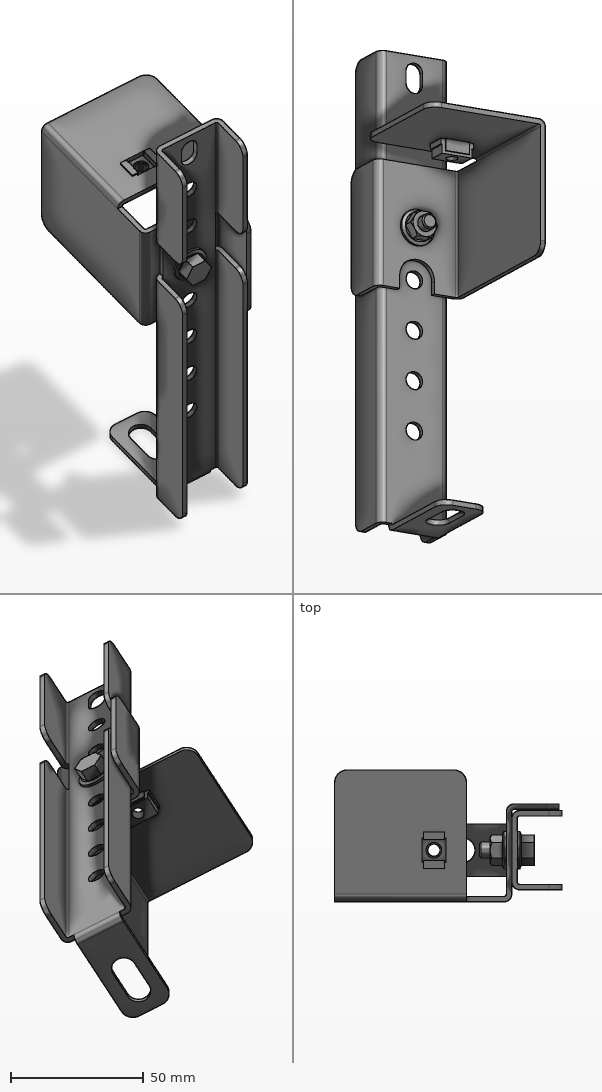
import cadquery as cq
import math

SHEET = 2.0
INNER_BEND = 0.85
OUTER_BEND = INNER_BEND + SHEET
CORNER_RADIUS = 5.0

HEIGHT = 190.0
RAIL_WIDTH = 30.0
RAIL_DEPTH = 19.0
RAIL_LEFT = 67.0
RAIL_RIGHT = RAIL_LEFT + RAIL_DEPTH
RAIL_INNER = RAIL_LEFT + SHEET
RAIL_CENTER_Y = 19.5
NOTCH_BOTTOM = 120.8
NOTCH_TOP = 141.0
FOOT_LEFT = 28.0
FOOT_WIDTH = 20.0
FOOT_SLOT_LENGTH = 20.3
FOOT_SLOT_WIDTH = 9.3
FOOT_SLOT_X = 43.0

HOLE_DIAMETER = 7.0
HOLE_COUNT = 7
LOWEST_HOLE_Z = 41.0
HIGHEST_HOLE_Z = 161.0
HOLE_PITCH = (HIGHEST_HOLE_Z - LOWEST_HOLE_Z) / (HOLE_COUNT - 1)
BOLT_HOLE_INDEX = 4
BOLT_Z = LOWEST_HOLE_Z + BOLT_HOLE_INDEX * HOLE_PITCH
BRACKET_NOTCH_Z = BOLT_Z - HOLE_PITCH
RAIL_SLOT_Z = HIGHEST_HOLE_Z + HOLE_PITCH
RAIL_SLOT_LENGTH = 12.0

BRACKET_TOP = 149.0
BRACKET_BOTTOM = 96.0
BRACKET_SHOULDER = BRACKET_TOP - OUTER_BEND
PLATE_SIZE = 50.0
WEB_LEFT = RAIL_LEFT - SHEET
FLANGE_RIGHT = 85.0
FLANGE_OUTER_Y = 37.0
BRACKET_NOTCH_WIDTH = 15.0

THREAD_DIAMETER = 6.0
BOLT_TIP_X = 55.0
TIP_CHAMFER = 0.5
HEX_FLATS = 10.0
HEX_CORNERS = HEX_FLATS / math.cos(math.pi / 6)
HEAD_HEIGHT = 6.5
NUT_HEIGHT = 6.0
RIM_DIAMETER = 14.2
RIM_THICKNESS = 1.0
CONE_HEIGHT = 0.5
HEX_BEVEL_HEIGHT = 1.7

CAGE_X = 37.6
WINDOW = 9.1
CAGE_STRIP_WIDTH = 8.0
CAGE_BODY_WIDTH = 13.0
CAGE_BODY_DEPTH = 5.9
CAGE_EAR_WIDTH = 14.0
CAGE_EAR_DEPTH = 2.3
CAGE_LEG = 0.5
LIP_SPAN = 13.7
LIP_HEIGHT = 0.5
NUT_BLOCK_WIDTH = 10.3
NUT_BLOCK_DEPTH = 4.8
CAGE_BORE = 4.5
CAGE_COUNTERBORE = 5.9
CAGE_COUNTERBORE_DEPTH = 0.5


def block(x, y, z):
    """Box given by its (low, high) limits along each axis."""
    size = (x[1] - x[0], y[1] - y[0], z[1] - z[0])
    return cq.Workplane("XY").box(*size, centered=False).translate((x[0], y[0], z[0]))


def round_bend(sheet, direction, inner, outer):
    """Round both edges of a bend, each found from a point on it."""
    for point, radius in ((inner, INNER_BEND), (outer, OUTER_BEND)):
        edge = sheet.edges("|" + direction).edges(cq.NearestToPointSelector(point))
        sheet = edge.fillet(radius)
    return sheet


def rod_x(diameter, start, end, z):
    """Cylinder along X on the centre line of the rail."""
    plane = cq.Workplane("YZ", origin=(start, RAIL_CENTER_Y, z))
    return plane.circle(diameter / 2).extrude(end - start)


def make_channel():
    """Upright U section whose two flanges are interrupted by a notch."""
    side = RAIL_WIDTH / 2
    low_y = RAIL_CENTER_Y - side
    high_y = RAIL_CENTER_Y + side
    heights = (OUTER_BEND, HEIGHT)
    middle = (OUTER_BEND + HEIGHT) / 2
    channel = block((RAIL_LEFT, RAIL_RIGHT), (low_y, high_y), heights)
    hollow = block((RAIL_INNER, RAIL_RIGHT), (low_y + SHEET, high_y - SHEET), heights)
    channel = channel.cut(hollow)
    for outer_y, inner_y in ((low_y, low_y + SHEET), (high_y, high_y - SHEET)):
        channel = round_bend(
            channel, "Z", (RAIL_INNER, inner_y, middle), (RAIL_LEFT, outer_y, middle)
        )
    notch_heights = (NOTCH_BOTTOM, NOTCH_TOP)
    for limits in ((low_y, low_y + OUTER_BEND), (high_y - OUTER_BEND, high_y)):
        channel = channel.cut(block((RAIL_LEFT, RAIL_RIGHT), limits, notch_heights))
    return channel.edges("|Y and >X").fillet(CORNER_RADIUS)


def make_foot():
    """Tab bent out of the lower end of the rail web, with a slot along X."""
    sides = (RAIL_CENTER_Y - FOOT_WIDTH / 2, RAIL_CENTER_Y + FOOT_WIDTH / 2)
    tab = block((FOOT_LEFT, RAIL_INNER), sides, (0, SHEET))
    riser = block((RAIL_LEFT, RAIL_INNER), sides, (0, 2 * OUTER_BEND))
    foot = round_bend(
        tab.union(riser),
        "Y",
        (RAIL_LEFT, RAIL_CENTER_Y, SHEET),
        (RAIL_INNER, RAIL_CENTER_Y, 0),
    )
    foot = foot.edges("|Z and <X").fillet(CORNER_RADIUS)
    slot = (
        cq.Workplane("XY", origin=(FOOT_SLOT_X, RAIL_CENTER_Y, 0))
        .slot2D(FOOT_SLOT_LENGTH, FOOT_SLOT_WIDTH)
        .extrude(SHEET)
    )
    return foot.cut(slot)


def make_rail():
    """Channel and foot in one piece, with the row of holes through the web."""
    rail = make_channel().union(make_foot())
    for index in range(HOLE_COUNT):
        hole_z = LOWEST_HOLE_Z + index * HOLE_PITCH
        rail = rail.cut(rod_x(HOLE_DIAMETER, RAIL_LEFT, RAIL_INNER, hole_z))
    slot = (
        cq.Workplane("YZ", origin=(RAIL_LEFT, RAIL_CENTER_Y, RAIL_SLOT_Z))
        .slot2D(RAIL_SLOT_LENGTH, HOLE_DIAMETER, 90)
        .extrude(SHEET)
    )
    return rail.cut(slot)


def make_bracket_wall():
    """Side plate, web and flange bent from one strip, up to the shoulder."""
    heights = (BRACKET_BOTTOM, BRACKET_SHOULDER)
    middle = (BRACKET_BOTTOM + BRACKET_SHOULDER) / 2
    flange_inner_y = FLANGE_OUTER_Y - SHEET
    side = block((0, RAIL_LEFT), (0, SHEET), heights)
    web = block((WEB_LEFT, RAIL_LEFT), (0, FLANGE_OUTER_Y), heights)
    flange = block((WEB_LEFT, FLANGE_RIGHT), (flange_inner_y, FLANGE_OUTER_Y), heights)
    wall = side.union(web).union(flange)
    wall = round_bend(wall, "Z", (WEB_LEFT, SHEET, middle), (RAIL_LEFT, 0, middle))
    wall = round_bend(
        wall,
        "Z",
        (RAIL_LEFT, flange_inner_y, middle),
        (WEB_LEFT, FLANGE_OUTER_Y, middle),
    )
    wall = wall.edges("|Y and >X").fillet(CORNER_RADIUS)
    return wall.edges("|Y and <X and <Z").fillet(CORNER_RADIUS)


def make_top_plate():
    """Horizontal plate with the bend that joins it to the side plate."""
    width = (0, PLATE_SIZE)
    middle = PLATE_SIZE / 2
    under = BRACKET_TOP - SHEET
    plate = block(width, (0, PLATE_SIZE), (under, BRACKET_TOP))
    drop = block(width, (0, SHEET), (BRACKET_SHOULDER - OUTER_BEND, BRACKET_TOP))
    plate = round_bend(
        plate.union(drop), "X", (middle, SHEET, under), (middle, 0, BRACKET_TOP)
    )
    plate = plate.edges("|Z and >Y").fillet(CORNER_RADIUS)
    half = WINDOW / 2
    window = block(
        (CAGE_X - half, CAGE_X + half),
        (RAIL_CENTER_Y - half, RAIL_CENTER_Y + half),
        (under, BRACKET_TOP),
    )
    return plate.cut(window)


def make_bracket():
    """Wall and top plate in one piece, with the bolt hole and a notch below it."""
    bracket = make_bracket_wall().union(make_top_plate())
    bracket = bracket.cut(rod_x(HOLE_DIAMETER, WEB_LEFT, RAIL_LEFT, BOLT_Z))
    half = BRACKET_NOTCH_WIDTH / 2
    notch = block(
        (WEB_LEFT, RAIL_LEFT),
        (RAIL_CENTER_Y - half, RAIL_CENTER_Y + half),
        (BRACKET_BOTTOM, BRACKET_NOTCH_Z),
    )
    notch = notch.union(rod_x(BRACKET_NOTCH_WIDTH, WEB_LEFT, RAIL_LEFT, BRACKET_NOTCH_Z))
    return bracket.cut(notch)


def flanged_hex(seat_x, height, direction):
    """Hexagon with a conical flange, standing on seat_x along +X or -X."""
    plane = cq.Plane(
        origin=(seat_x, RAIL_CENTER_Y, BOLT_Z), xDir=(0, 1, 0), normal=(direction, 0, 0)
    )
    flange_height = RIM_THICKNESS + CONE_HEIGHT
    cone_run = (RIM_DIAMETER - HEX_CORNERS) / 2
    prism = cq.Workplane(plane).polygon(6, HEX_CORNERS).extrude(height)
    flange = cq.Workplane(plane).circle(RIM_DIAMETER / 2).extrude(flange_height)
    outer_face = ">X" if direction > 0 else "<X"
    flange = flange.faces(outer_face).chamfer(CONE_HEIGHT, cone_run)
    return prism.union(flange)


def make_bolt():
    """Bolt whose head seats on the inner face of the rail web."""
    head = flanged_hex(RAIL_INNER, HEAD_HEIGHT, 1)
    shank = rod_x(THREAD_DIAMETER, BOLT_TIP_X, RAIL_INNER, BOLT_Z)
    return head.union(shank.faces("<X").chamfer(TIP_CHAMFER))


def make_hex_nut():
    """Flanged nut whose hexagon corners are bevelled at the free end."""
    free_end = WEB_LEFT - NUT_HEIGHT
    envelope = rod_x(RIM_DIAMETER, free_end, WEB_LEFT, BOLT_Z)
    bevel = (RIM_DIAMETER - HEX_FLATS) / 2
    envelope = envelope.faces("<X").chamfer(HEX_BEVEL_HEIGHT, bevel)
    bore = rod_x(THREAD_DIAMETER, free_end, WEB_LEFT, BOLT_Z)
    return flanged_hex(WEB_LEFT, NUT_HEIGHT, -1).intersect(envelope).cut(bore)


def make_cage_nut():
    """Nut held under the top plate by a strip whose lips rest on the plate."""
    under = BRACKET_TOP - SHEET

    def layer(x_width, y_width, low, high):
        half_x = x_width / 2
        half_y = y_width / 2
        return block(
            (CAGE_X - half_x, CAGE_X + half_x),
            (RAIL_CENTER_Y - half_y, RAIL_CENTER_Y + half_y),
            (low, high),
        )

    body = layer(CAGE_STRIP_WIDTH, CAGE_BODY_WIDTH, under - CAGE_BODY_DEPTH, under)
    ears = layer(CAGE_STRIP_WIDTH, CAGE_EAR_WIDTH, under - CAGE_EAR_DEPTH, under)
    nut_block = layer(WINDOW, NUT_BLOCK_WIDTH, under - NUT_BLOCK_DEPTH, under)
    legs = layer(CAGE_STRIP_WIDTH, WINDOW, under, BRACKET_TOP + LIP_HEIGHT)
    lips = layer(CAGE_STRIP_WIDTH, LIP_SPAN, BRACKET_TOP, BRACKET_TOP + LIP_HEIGHT)
    opening = layer(WINDOW, WINDOW - 2 * CAGE_LEG, under, BRACKET_TOP + LIP_HEIGHT)
    cage_nut = body.union(ears).union(nut_block).union(legs).union(lips).cut(opening)

    center = cq.Workplane("XY", origin=(CAGE_X, RAIL_CENTER_Y, under))
    bore = center.circle(CAGE_BORE / 2).extrude(-CAGE_BODY_DEPTH)
    counterbore = center.circle(CAGE_COUNTERBORE / 2).extrude(-CAGE_COUNTERBORE_DEPTH)
    return cage_nut.cut(bore).cut(counterbore)


rail = make_rail()
bracket = make_bracket()
bolt = make_bolt()
hex_nut = make_hex_nut()
cage_nut = make_cage_nut()

bodies = (rail, bracket, bolt, hex_nut, cage_nut)
result = cq.Compound.makeCompound([body.solids().val() for body in bodies])